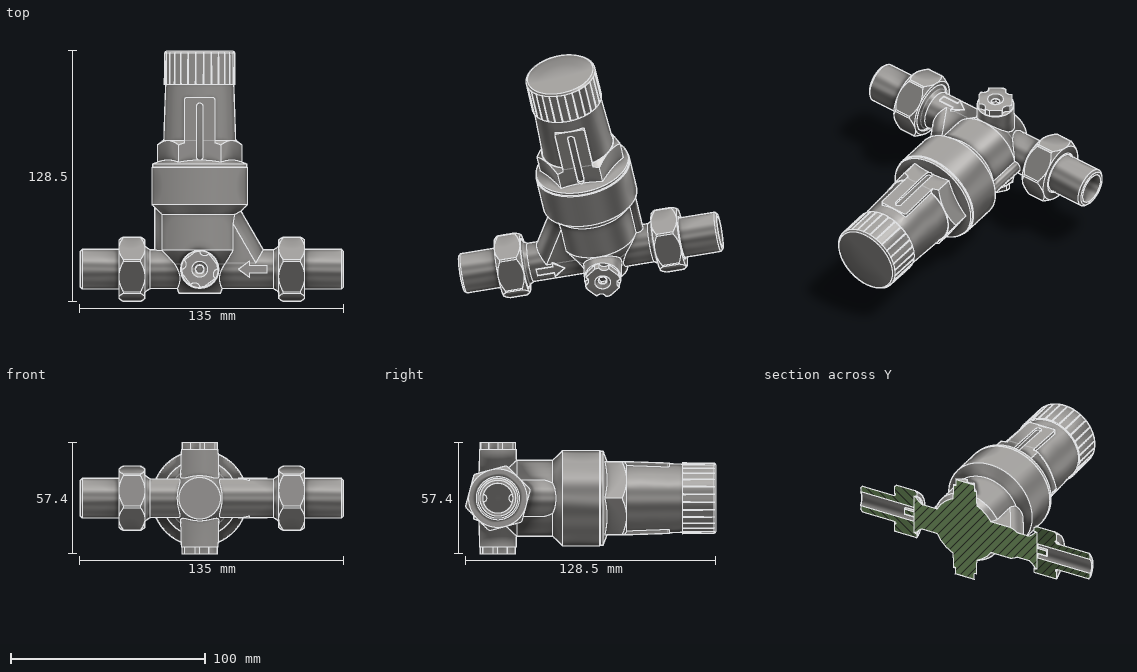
import cadquery as cq
import math


RUN_LENGTH = 135.0
RUN_CENTRE_X = 6.2
PIPE_RADIUS = 10.0

NUT_INNER_FACE = 34.3
NUT_WIDTH = 13.4
NUT_OUTER_FACE = NUT_INNER_FACE + NUT_WIDTH
NUT_ACROSS_FLATS = 30.0
NUT_CORNER_RADIUS = 17.0
NUT_FACE_RADIUS = 15.0
NUT_CHAMFER_LENGTH = 2.3
NUT_TURN = 15.0
TAIL_RADIUS = 10.3
TAIL_BORE_RADIUS = 7.7
TAIL_END_CHAMFER = 1.1
NUT_MOUTH_RADIUS = 11.1
LUG_RADIUS = 2.0
LUG_LENGTH = 5.4

COLLAR_RADIUS = 13.0
COLLAR_RIM = 1.1
FLARE_START = 31.6
FLARE_MIDDLE = 33.3
FLARE_MIDDLE_RADIUS = 11.1
COLLAR_CONE_END = FLARE_MIDDLE + COLLAR_RADIUS - FLARE_MIDDLE_RADIUS
COLLAR_FACE = COLLAR_CONE_END + COLLAR_RIM

BOSS_FACE_Y = -12.4
BOSS_RADIUS = 10.7
WAIST_RADIUS = 16.0
WAIST_Y = 2.7
BARREL_RADIUS = 19.6
BARREL_Y = 9.7
CONE_Y = 28.1
BELL_RADIUS = 24.6
BELL_Y = 33.2
BELL_TOP_Y = 52.1
RIM_RADIUS = 24.2
RIM_BASE_Y = 52.5
RIM_TOP_Y = 54.0
HEX_BASE_Y = 56.0

HEX_ACROSS_FLATS = 37.7
HEX_TOP_Y = 66.0
HEX_CHAMFER_LENGTH = 2.3
SLEEVE_BASE_RADIUS = 18.5
SLEEVE_TOP_RADIUS = 17.5
PANEL_WIDTH = 15.5
PANEL_TOP_Y = 88.0
PANEL_TOP_Z = 18.1
PANEL_CORNER_RADIUS = 1.1
SLOT_WIDTH = 3.4
SLOT_BASE_Y = 55.9
SLOT_TOP_Y = 85.2
SLOT_FLOOR_Z = 17.0

KNOB_BASE_Y = 94.6
KNOB_TOP_Y = 111.9
KNOB_BASE_RADIUS = 18.2
KNOB_TOP_RADIUS = 18.1
KNOB_EDGE = 1.0
KNOB_GROOVES = 28
GROOVE_DEPTH = 0.3

TOWER_BASE_RADIUS = 10.1
TOWER_TOP_RADIUS = 9.5
TOWER_TOP_Z = 25.0
PLUG_TOP_Z = 28.69
PLUG_RADIUS = 9.11
PLUG_SIDES = 4
PLUG_FLAT_DISTANCE = 8.5
PLUG_FLAT_TURN = 37.0
PLUG_NOTCH_RADIUS = 2.7
PLUG_NOTCH_TURN = 75.0
PLUG_NOTCH_CENTRE = 10.0
SOCKET_MOUTH_RADIUS = 4.0
SOCKET_FLOOR_RADIUS = 2.3
SOCKET_DEPTH = 1.8
HEX_KEY_DEPTH = 2.0

BRACE_ANGLE = 120.0
BRACE_FOOT_X = 26.9
BRACE_LENGTH = 36.5
WEB_HALF_THICKNESS = 9.5
ROD_RADIUS = 3.0
ROD_X = -20.1
ARROW_TIP_X = 19.8
ARROW_NECK_X = 25.6
ARROW_TAIL_X = 34.4
ARROW_HEAD_HALF = 4.3
ARROW_SHAFT_HALF = 1.96
ARROW_TOP_Z = 10.3

SIDES = (-1, 1)


def turned_on_y(profile):
    """Solid of revolution about Y from (radius, y) points."""
    return cq.Workplane("XY").polyline(profile).close().revolve(360, (0, 0, 0), (0, 1, 0))


def turned_on_x(profile, side):
    """Solid of revolution about X from (distance from mid run, radius) points, on one side of the run."""
    points = [(RUN_CENTRE_X + side * distance, radius) for distance, radius in profile]
    return cq.Workplane("XY").polyline(points).close().revolve(360, (0, 0, 0), (1, 0, 0))


def turned_on_z(profile):
    """Solid of revolution about Z from (radius, z) points."""
    return cq.Workplane("XZ").polyline(profile).close().revolve(360, (0, 0, 0), (0, 1, 0))


def hexagon_diameter(across_flats):
    return across_flats / math.cos(math.pi / 6)


def make_barrel():
    return turned_on_y([
        (0, BOSS_FACE_Y),
        (BOSS_RADIUS, BOSS_FACE_Y),
        (WAIST_RADIUS, WAIST_Y),
        (BARREL_RADIUS, BARREL_Y),
        (BARREL_RADIUS, CONE_Y),
        (BELL_RADIUS, BELL_Y),
        (BELL_RADIUS, BELL_TOP_Y),
        (RIM_RADIUS, RIM_BASE_Y),
        (RIM_RADIUS, RIM_TOP_Y),
        (HEX_ACROSS_FLATS / 2, HEX_BASE_Y),
        (SLEEVE_BASE_RADIUS, HEX_TOP_Y),
        (SLEEVE_TOP_RADIUS, KNOB_BASE_Y),
        (0, KNOB_BASE_Y),
    ])


def make_bonnet_hexagon():
    """Hexagon with two flats facing +Z and -Z, its upper corners turned off by a cone."""
    flat_radius = HEX_ACROSS_FLATS / 2
    diameter = hexagon_diameter(HEX_ACROSS_FLATS)
    corner_radius = diameter / 2
    prism = (
        cq.Workplane("XZ", origin=(0, RIM_TOP_Y, 0))
        .polygon(6, diameter)
        .extrude(RIM_TOP_Y - HEX_TOP_Y)
    )
    envelope = turned_on_y([
        (0, RIM_TOP_Y),
        (corner_radius, RIM_TOP_Y),
        (corner_radius, HEX_TOP_Y - HEX_CHAMFER_LENGTH),
        (flat_radius, HEX_TOP_Y),
        (0, HEX_TOP_Y),
    ])
    return prism.intersect(envelope)


def make_panel(side):
    """Raised panel that carries a hexagon flat up the sleeve on the +Z or -Z side."""
    flat_z = side * HEX_ACROSS_FLATS / 2
    section = [
        (HEX_BASE_Y, 0),
        (HEX_BASE_Y, flat_z),
        (HEX_TOP_Y, flat_z),
        (PANEL_TOP_Y, side * PANEL_TOP_Z),
        (PANEL_TOP_Y, 0),
    ]
    panel = cq.Workplane("YZ").polyline(section).close().extrude(PANEL_WIDTH / 2, both=True)
    top_corners = panel.faces(">Y").edges("|Z")
    return top_corners.fillet(PANEL_CORNER_RADIUS)


def make_panel_slot(side):
    length = SLOT_TOP_Y - SLOT_BASE_Y
    middle_y = (SLOT_TOP_Y + SLOT_BASE_Y) / 2
    return (
        cq.Workplane("XY", origin=(0, middle_y, side * SLOT_FLOOR_Z))
        .slot2D(length, SLOT_WIDTH, 90)
        .extrude(side * HEX_ACROSS_FLATS / 2)
    )


def make_knob():
    knob = turned_on_y([
        (0, KNOB_BASE_Y),
        (KNOB_BASE_RADIUS, KNOB_BASE_Y),
        (KNOB_TOP_RADIUS, KNOB_TOP_Y - KNOB_EDGE),
        (KNOB_TOP_RADIUS - KNOB_EDGE, KNOB_TOP_Y),
        (0, KNOB_TOP_Y),
    ])
    groove_diagonal = GROOVE_DEPTH * 2
    pitch = 360 / KNOB_GROOVES
    for index in range(KNOB_GROOVES):
        groove = (
            cq.Workplane("XZ", origin=(0, KNOB_BASE_Y, 0))
            .center(KNOB_BASE_RADIUS, 0)
            .polygon(4, groove_diagonal)
            .extrude(KNOB_BASE_Y - KNOB_TOP_Y)
            .rotate((0, 0, 0), (0, 1, 0), (index + 0.5) * pitch)
        )
        knob = knob.cut(groove)
    return knob


def make_pipe_arm(side):
    """Half of the pipe run with the flared collar at its end."""
    return turned_on_x([
        (-side * RUN_CENTRE_X, 0),
        (-side * RUN_CENTRE_X, PIPE_RADIUS),
        (FLARE_START, PIPE_RADIUS),
        (FLARE_MIDDLE, FLARE_MIDDLE_RADIUS),
        (COLLAR_CONE_END, COLLAR_RADIUS),
        (COLLAR_FACE, COLLAR_RADIUS),
        (COLLAR_FACE, 0),
    ], side)


def make_test_plug():
    """Tapered tower on +Z with a notched plug head and a countersunk hexagon socket."""
    tower = turned_on_z([
        (0, 0),
        (TOWER_BASE_RADIUS, 0),
        (TOWER_TOP_RADIUS, TOWER_TOP_Z),
        (0, TOWER_TOP_Z),
    ])
    head_height = PLUG_TOP_Z - TOWER_TOP_Z
    head_base = cq.Workplane("XY", origin=(0, 0, TOWER_TOP_Z))
    flats = (
        head_base.rect(2 * PLUG_FLAT_DISTANCE, 2 * PLUG_FLAT_DISTANCE)
        .extrude(head_height)
        .rotate((0, 0, 0), (0, 0, 1), PLUG_FLAT_TURN)
    )
    notches = (
        head_base.polarArray(PLUG_NOTCH_CENTRE, PLUG_NOTCH_TURN, 360, PLUG_SIDES)
        .circle(PLUG_NOTCH_RADIUS)
        .extrude(head_height)
    )
    head = head_base.circle(PLUG_RADIUS).extrude(head_height).intersect(flats).cut(notches)
    countersink_floor_z = PLUG_TOP_Z - SOCKET_DEPTH
    countersink = turned_on_z([
        (0, countersink_floor_z),
        (SOCKET_FLOOR_RADIUS, countersink_floor_z),
        (SOCKET_MOUTH_RADIUS, PLUG_TOP_Z),
        (0, PLUG_TOP_Z),
    ])
    hex_key = (
        cq.Workplane("XY", origin=(0, 0, countersink_floor_z))
        .polygon(6, 2 * SOCKET_FLOOR_RADIUS)
        .extrude(-HEX_KEY_DEPTH)
    )
    return tower.union(head).cut(countersink).cut(hex_key)


def make_brace():
    """Slanted round brace from the pipe to the bell, its web and both its sides planed to one thickness."""
    slope = math.radians(BRACE_ANGLE)
    foot = cq.Vector(BRACE_FOOT_X, 0, 0)
    direction = cq.Vector(math.cos(slope), math.sin(slope), 0)
    web_top_x = BRACE_FOOT_X + BELL_Y * direction.x / direction.y
    web = (
        cq.Workplane("XY")
        .polyline([(0, 0), (BRACE_FOOT_X, 0), (web_top_x, BELL_Y), (0, BELL_Y)])
        .close()
        .extrude(WEB_HALF_THICKNESS, both=True)
    )
    planed_space = (
        cq.Workplane("XY")
        .center(RUN_LENGTH / 2, BRACE_LENGTH / 2)
        .rect(RUN_LENGTH, BRACE_LENGTH)
        .extrude(WEB_HALF_THICKNESS, both=True)
    )
    brace = cq.Workplane(cq.Solid.makeCylinder(PIPE_RADIUS, BRACE_LENGTH, foot, direction))
    return brace.intersect(planed_space).union(web)


def make_rod():
    return cq.Workplane("XZ", origin=(ROD_X, 0, 0)).circle(ROD_RADIUS).extrude(-BELL_Y)


def make_flow_arrow():
    """Raised arrow that points to -X on the top and bottom of the pipe."""
    upper_half = [
        (ARROW_NECK_X, ARROW_HEAD_HALF),
        (ARROW_NECK_X, ARROW_SHAFT_HALF),
        (ARROW_TAIL_X, ARROW_SHAFT_HALF),
    ]
    lower_half = [(x, -y) for x, y in reversed(upper_half)]
    outline = [(ARROW_TIP_X, 0)] + upper_half + lower_half
    return cq.Workplane("XY").polyline(outline).close().extrude(ARROW_TOP_Z, both=True)


def make_housing():
    housing = make_barrel().union(make_bonnet_hexagon())
    for side in SIDES:
        housing = housing.union(make_panel(side))
        housing = housing.union(make_pipe_arm(side))
    for side in SIDES:
        housing = housing.cut(make_panel_slot(side))
    housing = housing.union(make_knob())
    housing = housing.union(make_brace())
    housing = housing.union(make_rod())
    housing = housing.union(make_flow_arrow())
    plug = make_test_plug()
    return housing.union(plug).union(plug.rotate((0, 0, 0), (1, 0, 0), 180))


def make_nut(side):
    prism = (
        cq.Workplane("YZ", origin=(RUN_CENTRE_X + side * NUT_INNER_FACE, 0, 0))
        .polygon(6, hexagon_diameter(NUT_ACROSS_FLATS))
        .extrude(side * NUT_WIDTH)
        .rotate((0, 0, 0), (1, 0, 0), NUT_TURN)
    )
    envelope = turned_on_x([
        (NUT_INNER_FACE, 0),
        (NUT_INNER_FACE, NUT_FACE_RADIUS),
        (NUT_INNER_FACE + NUT_CHAMFER_LENGTH, NUT_CORNER_RADIUS),
        (NUT_OUTER_FACE - NUT_CHAMFER_LENGTH, NUT_CORNER_RADIUS),
        (NUT_OUTER_FACE, NUT_FACE_RADIUS),
        (NUT_OUTER_FACE, 0),
    ], side)
    collar_recess = turned_on_x([
        (NUT_INNER_FACE, 0),
        (NUT_INNER_FACE, COLLAR_RADIUS),
        (COLLAR_FACE, COLLAR_RADIUS),
        (COLLAR_FACE, 0),
    ], side)
    mouth_groove = turned_on_x([
        (NUT_OUTER_FACE, TAIL_RADIUS),
        (NUT_OUTER_FACE, NUT_MOUTH_RADIUS),
        (NUT_OUTER_FACE + TAIL_RADIUS - NUT_MOUTH_RADIUS, NUT_MOUTH_RADIUS),
    ], side)
    return prism.intersect(envelope).cut(collar_recess).cut(mouth_groove)


def make_lug(side, lug_side):
    """Half-round wrench lug on the bore wall, next to the pipe collar."""
    return (
        cq.Workplane("YZ", origin=(RUN_CENTRE_X + side * COLLAR_FACE, lug_side * TAIL_BORE_RADIUS, 0))
        .circle(LUG_RADIUS)
        .extrude(side * LUG_LENGTH)
    )


def make_union(side):
    tail_end = RUN_LENGTH / 2
    tail = turned_on_x([
        (COLLAR_FACE, 0),
        (COLLAR_FACE, TAIL_RADIUS),
        (tail_end - TAIL_END_CHAMFER, TAIL_RADIUS),
        (tail_end, TAIL_RADIUS - TAIL_END_CHAMFER),
        (tail_end, 0),
    ], side)
    bore = turned_on_x([
        (COLLAR_FACE, 0),
        (COLLAR_FACE, TAIL_BORE_RADIUS),
        (tail_end, TAIL_BORE_RADIUS),
        (tail_end, 0),
    ], side)
    fitting = make_nut(side).union(tail).cut(bore)
    for lug_side in SIDES:
        fitting = fitting.union(make_lug(side, lug_side))
    return fitting


housing = make_housing()
unions = [make_union(side) for side in SIDES]
result = cq.Compound.makeCompound([housing.val(), *[fitting.val() for fitting in unions]])